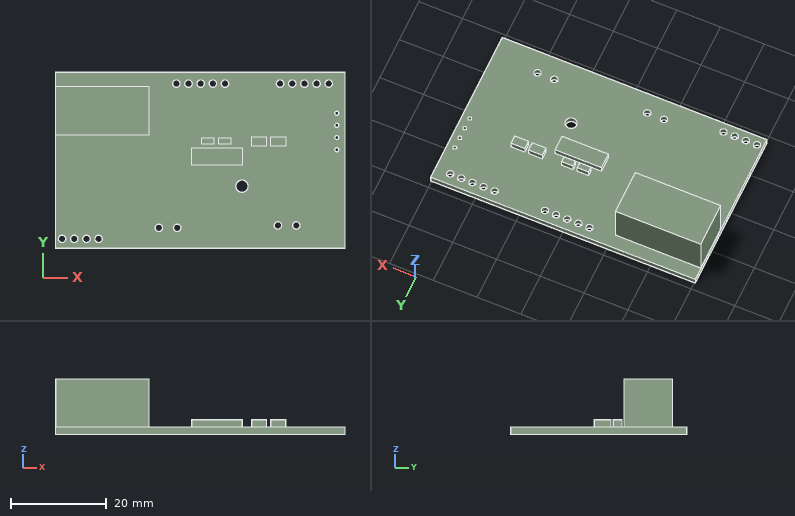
import cadquery as cq

BOARD_LENGTH = 60.48
BOARD_WIDTH = 36.81
BOARD_THICKNESS = 1.6

CONNECTOR_LENGTH = 19.5
CONNECTOR_WIDTH = 10.2
CONNECTOR_HEIGHT = 10.0
CONNECTOR_CORNER = (0.06, 23.65)

COMPONENT_HEIGHT = 1.5
CHIP_SIZE = (10.6, 3.55)
CHIP_CORNER = (28.45, 17.45)
SMALL_SIZE = (2.6, 1.3)
SMALL_CORNERS = [(30.5, 21.75), (34.05, 21.75)]
MEDIUM_SIZE = (3.15, 1.9)
MEDIUM_CORNERS = [(40.95, 21.4), (44.95, 21.4)]

PIN_PITCH = 2.54
PIN_DIAMETER = 1.5
TOP_ROW_Y = 34.4
TOP_ROW_COUNT = 5
TOP_ROW_STARTS_X = [25.25, 46.9]
BOTTOM_ROW_START = (1.4, 2.0)
BOTTOM_ROW_COUNT = 4
PAIR_PITCH = 3.84
PAIR_STARTS = [(21.6, 4.3), (46.45, 4.8)]
PAIR_COUNT = 2
SIDE_ROW_START = (58.75, 20.6)
SIDE_ROW_COUNT = 4
SIDE_DIAMETER = 0.8
MOUNT_DIAMETER = 2.5
MOUNT_CENTER = (38.95, 13.0)


def block_on_board(size, corner, height):
    """A box standing on the board, sunk through it so that the two join fully."""
    length, width = size
    x, y = corner
    block = cq.Workplane("XY").box(length, width, BOARD_THICKNESS + height, centered=False)
    return block.translate((x, y, 0))


def row_along_x(start, pitch, count):
    return [(start[0] + i * pitch, start[1]) for i in range(count)]


def row_along_y(start, pitch, count):
    return [(start[0], start[1] + i * pitch) for i in range(count)]


def drill(body, centers, diameter):
    drills = cq.Workplane("XY").pushPoints(centers).circle(diameter / 2).extrude(BOARD_THICKNESS)
    return body.cut(drills)


result = cq.Workplane("XY").box(BOARD_LENGTH, BOARD_WIDTH, BOARD_THICKNESS, centered=False)
connector_size = (CONNECTOR_LENGTH, CONNECTOR_WIDTH)
result = result.union(block_on_board(connector_size, CONNECTOR_CORNER, CONNECTOR_HEIGHT))
result = result.union(block_on_board(CHIP_SIZE, CHIP_CORNER, COMPONENT_HEIGHT))
for small_corner in SMALL_CORNERS:
    result = result.union(block_on_board(SMALL_SIZE, small_corner, COMPONENT_HEIGHT))
for medium_corner in MEDIUM_CORNERS:
    result = result.union(block_on_board(MEDIUM_SIZE, medium_corner, COMPONENT_HEIGHT))

pin_centers = row_along_x(BOTTOM_ROW_START, PIN_PITCH, BOTTOM_ROW_COUNT)
for start_x in TOP_ROW_STARTS_X:
    pin_centers += row_along_x((start_x, TOP_ROW_Y), PIN_PITCH, TOP_ROW_COUNT)
for pair_start in PAIR_STARTS:
    pin_centers += row_along_x(pair_start, PAIR_PITCH, PAIR_COUNT)
result = drill(result, pin_centers, PIN_DIAMETER)

result = drill(result, row_along_y(SIDE_ROW_START, PIN_PITCH, SIDE_ROW_COUNT), SIDE_DIAMETER)
result = drill(result, [MOUNT_CENTER], MOUNT_DIAMETER)